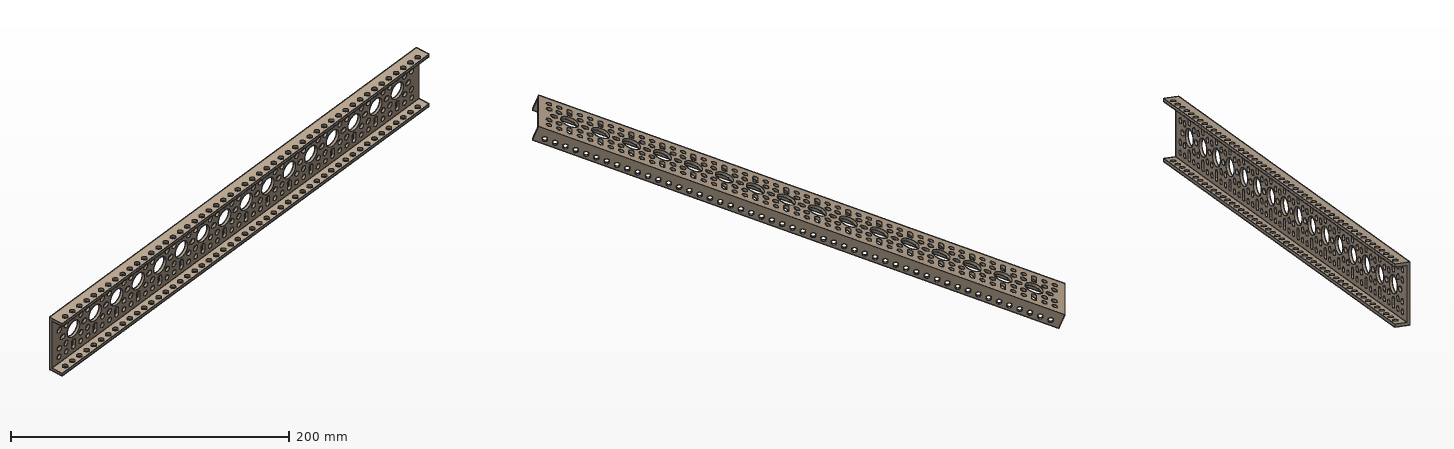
import cadquery as cq
import math

length = 408.0
module_count = 17
wall = 2.5
bore_diameter = 14.0
hole_diameter = 4.0

module = length / module_count
pitch = module / 3
height = 2 * module
depth = module / 2
outer_row = 2 * pitch

inner_ring = pitch * math.sqrt(2)
outer_ring = module / 2


def centered_positions(count, spacing):
    """Evenly spaced positions, symmetric about zero."""
    return [(i - (count - 1) / 2) * spacing for i in range(count)]


bore_positions = centered_positions(module_count - 1, module)
mid_positions = centered_positions(module_count, module)
pitch_positions = centered_positions(3 * module_count - 1, pitch)


def channel():
    """C-shaped section with the web at X = 0 and the flanges pointing to +X."""
    outer = cq.Workplane("XY").box(depth, length, height, centered=(False, True, True))
    inside = (
        cq.Workplane("XY")
        .box(depth, length, height - 2 * wall, centered=(False, True, True))
        .translate((wall, 0, 0))
    )
    return outer.cut(inside)


def web_circles(points, diameter):
    """Cutters through the web for round holes at (Y, Z) points."""
    return cq.Workplane("YZ").pushPoints(points).circle(diameter / 2).extrude(wall)


def web_slots(points, center_distance, angle):
    """Cutters through the web for slots; center_distance is between the end arcs' centers."""
    slot_length = center_distance + hole_diameter
    return cq.Workplane("YZ").pushPoints(points).slot2D(slot_length, hole_diameter, angle).extrude(wall)


def bores():
    return web_circles([(y, 0) for y in bore_positions], bore_diameter)


def outer_row_holes():
    """Holes near the flanges; every third grid column has an upright slot instead."""
    columns = [y for i, y in enumerate(pitch_positions) if i % 3 != 2]
    return web_circles([(y, z) for y in columns for z in (-outer_row, outer_row)], hole_diameter)


def upright_slots():
    """Slots above and below each bore, from the inner ring out to the outer row."""
    center = (inner_ring + outer_row) / 2
    points = [(y, z) for y in bore_positions for z in (-center, center)]
    return web_slots(points, outer_row - inner_ring, 90)


def lengthwise_slots():
    """Slots midway between bores, joining the inner rings of the two neighbours."""
    return web_slots([(y, 0) for y in mid_positions], module - 2 * inner_ring, 0)


def diagonal_slots(slope):
    """Short 45 degree slots pointing at the bores, rising (slope 1) or falling (slope -1) along Y.

    The two channel ends carry the inward half of the same pattern.
    """
    offset = (inner_ring + outer_ring) / 2 * math.sqrt(0.5)
    reach = module / 2 - offset
    points = []
    for y in mid_positions:
        points.append((y - reach, slope * offset))
        points.append((y + reach, -slope * offset))
    return web_slots(points, outer_ring - inner_ring, 45 * slope)


def flange_holes():
    """One row of holes through both flanges, one pitch from the outer web face."""
    points = [(pitch, y) for y in pitch_positions]
    drills = cq.Workplane("XY").pushPoints(points).circle(hole_diameter / 2)
    return drills.extrude(height / 2, both=True)


cutters = [
    bores(),
    outer_row_holes(),
    upright_slots(),
    lengthwise_slots(),
    diagonal_slots(1),
    diagonal_slots(-1),
    flange_holes(),
]

result = channel()
for cutter in cutters:
    result = result.cut(cutter)